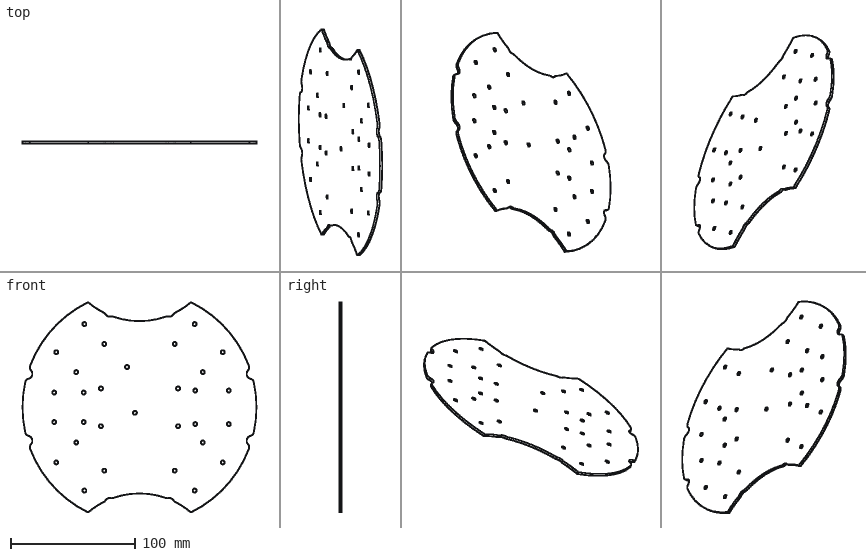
import cadquery as cq
import math

disc_radius = 94.27
thickness = 2.0

tip_z = 169.36 / 2
tip_x = math.sqrt(disc_radius**2 - tip_z**2)
cutout_bottom_z = 69.45
cutout_depth = tip_z - cutout_bottom_z
cutout_radius = (tip_x**2 + cutout_depth**2) / (2 * cutout_depth)
cutout_centre_z = cutout_bottom_z + cutout_radius

notch_radius = 4.0
rim_notch_angle = 16.6
rim_notch_fillet = 4.0
cutout_notch_x = 24.0
cutout_notch_z = 77.12
cutout_notch_fillet = 3.5
edge_search_margin = 0.2

hole_diameter = 3.0
diagonal_group_distance = 67.42
diagonal_group_length = 22.68
diagonal_group_width = 32.0
left_group_x = -56.8
left_group_spacing = 23.75
right_group_x = 58.4
right_group_spacing = 27.0
centre_group_length = 62.1
centre_group_width = 30.35
single_holes = [(-10.0, 32.4), (-3.7, -4.5)]

quadrants = [(1, 1), (-1, 1), (-1, -1), (1, -1)]
rim_notch_centres = [
    (
        sx * disc_radius * math.cos(math.radians(rim_notch_angle)),
        sz * disc_radius * math.sin(math.radians(rim_notch_angle)),
    )
    for sx, sz in quadrants
]
cutout_notch_centres = [(sx * cutout_notch_x, sz * cutout_notch_z) for sx, sz in quadrants]


def extrude_through(sketch):
    """Extrude an XZ sketch over the plate thickness, centred on Y = 0."""
    return sketch.extrude(thickness / 2, both=True)


def cylinders(centres, radius):
    return extrude_through(cq.Workplane("XZ").pushPoints(centres).circle(radius))


def round_notch_mouths(plate, centres, fillet_radius):
    """Fillet the two edges where each notch meets the plate outline."""
    reach = notch_radius + edge_search_margin
    for x, z in centres:
        box = cq.selectors.BoxSelector(
            (x - reach, -thickness, z - reach), (x + reach, thickness, z + reach)
        )
        plate = plate.edges("|Y").edges(box).fillet(fillet_radius)
    return plate


def grid(length, width):
    """Corners of a rectangle centred on the origin."""
    return [(sx * length / 2, sz * width / 2) for sx, sz in quadrants]


def hole_centres():
    centres = list(single_holes)
    centres += grid(centre_group_length, centre_group_width)
    centres += [(left_group_x + x, z) for x, z in grid(left_group_spacing, left_group_spacing)]
    centres += [(right_group_x + x, z) for x, z in grid(right_group_spacing, right_group_spacing)]
    diagonal = math.sqrt(0.5)
    for along, across in grid(diagonal_group_length, diagonal_group_width):
        radial = diagonal_group_distance + along
        for sx, sz in quadrants:
            centres.append((sx * (radial - across) * diagonal, sz * (radial + across) * diagonal))
    return centres


plate = cylinders([(0, 0)], disc_radius)
plate = plate.cut(cylinders([(0, cutout_centre_z), (0, -cutout_centre_z)], cutout_radius))
plate = plate.cut(cylinders(rim_notch_centres + cutout_notch_centres, notch_radius))
plate = round_notch_mouths(plate, rim_notch_centres, rim_notch_fillet)
plate = round_notch_mouths(plate, cutout_notch_centres, cutout_notch_fillet)
result = plate.cut(cylinders(hole_centres(), hole_diameter / 2))